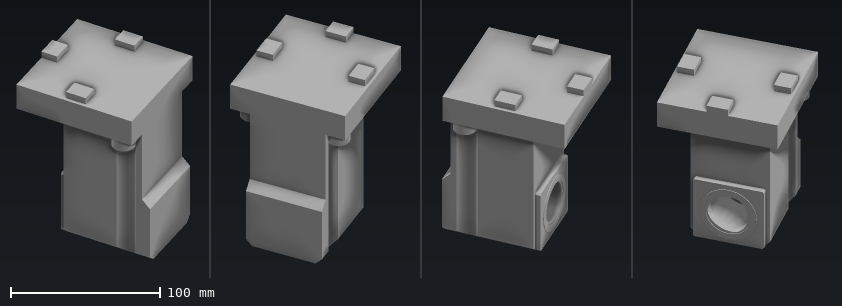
import cadquery as cq
import math

plate_length = 88.0
plate_width = 85.0
plate_thickness = 20.0
total_height = 129.0
pad_height = 5.0
pad_depth = 12.0
pad_width = 15.1
plate_top = total_height - pad_height
plate_bottom = plate_top - plate_thickness

body_front = 28.1
body_back = 94.0
body_width = 56.1
front_flare = 6.2
back_step = body_back - plate_length
back_step_height = 44.1
bottom_chamfer = 4.6

screw_x = 76.0
screw_y = 32.0
head_diameter = 16.0
head_height = 10.0
groove_radius = 8.5

socket_z = 24.1
flange_width = 49.8
flange_height = 47.2
flange_thickness = 3.9
flange_chamfer = 1.0
ring_diameter = 40.0
ring_height = 0.5
recess_diameter = 31.6
flange_face = body_front - flange_thickness
ring_face = flange_face - ring_height
socket_radius = 14.0
lobe_height = 0.6
socket_depth = 31.0
socket_taper = 1 / 40
socket_points = 48
pin_diameter = 2.5
pin_tip = 11.2
pin_end = 18.0
pin_setback = 15.5


def make_plate():
    plate = cq.Workplane("XY").box(
        plate_length, plate_width, plate_thickness, centered=(False, True, False)
    )
    return plate.translate((0, 0, plate_bottom))


def make_pads():
    front_pad = cq.Workplane("XY").box(pad_depth, pad_width, pad_height, centered=(False, True, False))
    pads = front_pad.translate((0, 0, plate_top))
    pad_offset = (body_width + pad_depth) / 2
    for side in (-1, 1):
        pad = cq.Workplane("XY").box(pad_width, pad_depth, pad_height, centered=(True, True, False))
        pads = pads.union(pad.translate((plate_length / 2, side * pad_offset, plate_top)))
    return pads


def make_body():
    profile = [
        (body_front, 0),
        (body_back, 0),
        (body_back, back_step_height),
        (plate_length, back_step_height + back_step),
        (plate_length, plate_bottom),
        (body_front - front_flare, plate_bottom),
        (body_front, plate_bottom - front_flare),
    ]
    body = cq.Workplane("XZ").polyline(profile).close().extrude(body_width / 2, both=True)
    return body.edges("|X and <Z").chamfer(bottom_chamfer)


def screw_cylinder(side, radius, bottom, height):
    circle = cq.Workplane("XY", origin=(screw_x, side * screw_y, bottom)).circle(radius)
    return circle.extrude(height)


def disc(diameter, face_x, thickness):
    return cq.Workplane("YZ", origin=(face_x, 0, socket_z)).circle(diameter / 2).extrude(thickness)


def make_flange():
    flange = cq.Workplane("XY").box(
        flange_thickness, flange_width, flange_height, centered=(False, True, True)
    )
    flange = flange.edges("|X").chamfer(flange_chamfer)
    return flange.translate((flange_face, 0, socket_z))


def polygon_point(angle, radius):
    """Point on a three-lobed constant-width curve, with one lobe toward +Y."""
    support = radius + lobe_height * math.cos(3 * angle)
    slope = -3 * lobe_height * math.sin(3 * angle)
    y = support * math.cos(angle) - slope * math.sin(angle)
    z = support * math.sin(angle) + slope * math.cos(angle)
    return (y, z)


def polygon_outline(radius):
    step = 2 * math.pi / socket_points
    return [polygon_point(i * step, radius) for i in range(socket_points)]


def make_socket():
    floor_radius = socket_radius - socket_depth * socket_taper
    mouth = cq.Workplane("YZ", origin=(ring_face, 0, socket_z))
    mouth = mouth.spline(polygon_outline(socket_radius), periodic=True).close()
    floor = mouth.workplane(offset=socket_depth)
    return floor.spline(polygon_outline(floor_radius), periodic=True).close().loft(combine=True)


def make_drive_pin():
    pin = cq.Workplane("XZ", origin=(ring_face + pin_setback, -pin_tip, socket_z))
    return pin.circle(pin_diameter / 2).extrude(pin_end - pin_tip)


body = make_body()
for side in (-1, 1):
    body = body.cut(screw_cylinder(side, groove_radius, 0, plate_bottom))

result = make_plate().union(make_pads()).union(body)
for side in (-1, 1):
    head = screw_cylinder(side, head_diameter / 2, plate_bottom - head_height, head_height)
    result = result.union(head)

result = result.union(make_flange())
result = result.union(disc(ring_diameter, ring_face, ring_height))
result = result.cut(disc(recess_diameter, ring_face, ring_height))
result = result.cut(make_socket())
result = result.union(make_drive_pin())